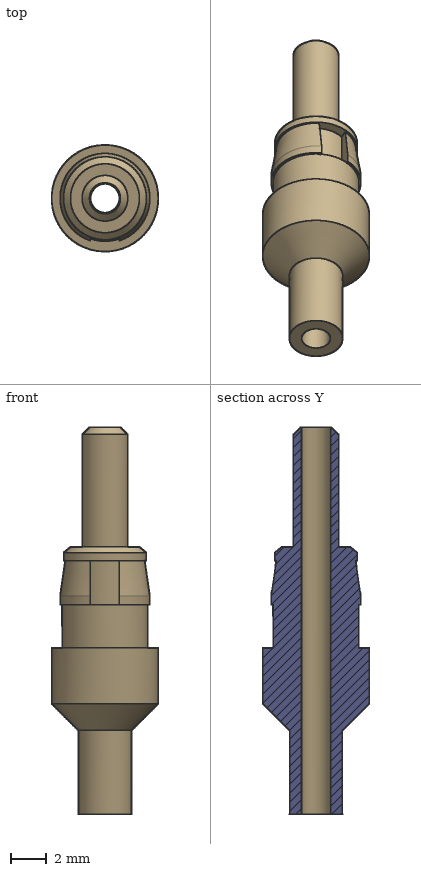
import cadquery as cq

total_height = 21.7
tail_top = 4.7
flange_top = 9.33
sleeve_bottom = 11.75
sleeve_taper_start = 12.25
sleeve_top = 14.21
collar_top = 15.0

flange_radius = 3.0
tail_radius = flange_radius / 2
body_radius = 2.4
sleeve_radius = 2.52
sleeve_top_radius = 2.24
core_radius = 1.8
collar_radius = 2.32
pin_radius = 1.28
bore_radius = 0.8

collar_chamfer_width = 0.4
collar_chamfer_height = 0.33
pin_chamfer = 0.41
slit_width = 1.63

cone_top = tail_top + flange_radius - tail_radius


def make_stepped_body():
    """Revolve the contact body, including the core hidden under the sleeve."""
    profile = [
        (0, 0),
        (tail_radius, 0),
        (tail_radius, tail_top),
        (flange_radius, cone_top),
        (flange_radius, flange_top),
        (body_radius, flange_top),
        (body_radius, sleeve_bottom),
        (core_radius, sleeve_bottom),
        (core_radius, sleeve_top),
        (collar_radius, sleeve_top),
        (collar_radius, collar_top - collar_chamfer_height),
        (collar_radius - collar_chamfer_width, collar_top),
        (pin_radius, collar_top),
        (pin_radius, total_height - pin_chamfer),
        (pin_radius - pin_chamfer, total_height),
        (0, total_height),
    ]
    return cq.Workplane("XZ").polyline(profile).close().revolve(360, (0, 0), (0, 1))


def make_split_sleeve():
    """Tapered spring sleeve around the core, slit open on the -Y side."""
    profile = [
        (0, sleeve_bottom),
        (sleeve_radius, sleeve_bottom),
        (sleeve_radius, sleeve_taper_start),
        (sleeve_top_radius, sleeve_top),
        (0, sleeve_top),
    ]
    sleeve = cq.Workplane("XZ").polyline(profile).close().revolve(360, (0, 0), (0, 1))
    slit = (
        cq.Workplane("XY", origin=(0, 0, sleeve_bottom))
        .rect(slit_width, 2 * sleeve_radius)
        .extrude(sleeve_top - sleeve_bottom)
        .translate((0, -sleeve_radius, 0))
    )
    return sleeve.cut(slit)


bore = cq.Workplane("XY").circle(bore_radius).extrude(total_height)

result = make_stepped_body().union(make_split_sleeve()).cut(bore)